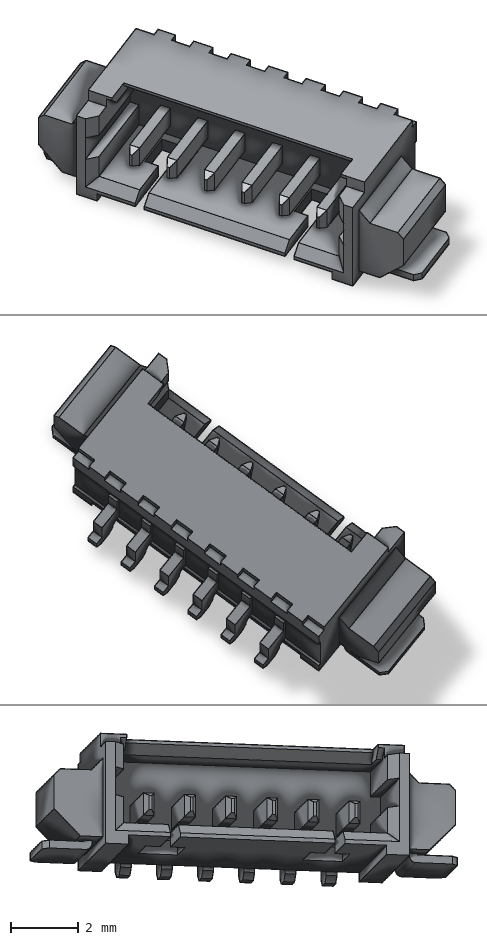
import cadquery as cq

body_width = 9.25
body_depth = 4.2
body_height = 3.5
wall = 0.3
roof_thickness = 0.4
front_step_depth = 0.78
ceiling_z = body_height - roof_thickness

floor_bottom_z = 0.28
floor_z = 0.71
lead_in = 0.3
cavity_depth = 2.93
mouth_half_width = body_width / 2 - wall
cavity_half_width = mouth_half_width - lead_in
groove_bottom_z = 1.49
groove_top_z = 2.34

roof_window_width = 7.65
roof_window_depth = 1.55
foot_width = 0.7
slot_width = 0.3
latch_opening_width = 1.2
latch_opening_front_y = 1.53
latch_opening_back_y = 2.66
notch_depth = 0.27
notch_width = 0.61
rear_recess_depth = 0.09
rear_recess_bottom_z = 0.49
rear_recess_top_z = 2.48

pin_count = 6
pitch = 1.25
pin_width = 0.33
pin_bottom_z = 1.09
pin_top_z = 1.77
pin_tip_y = 0.65
pin_taper_length = 0.27
pin_tip_width = 0.09
pin_tip_inset_z = 0.13
tail_root_top_z = 2.07
tail_top_z = 1.38
tail_back_y = 4.93
tail_end_y = 5.2
tail_toe_y = 4.4
tail_foot_height = 0.49
tail_chamfer = 0.2
tail_bend_radius = tail_toe_y - body_depth

total_width = 12.65
ear_front_y = 0.42
ear_back_y = 3.2
ear_outer_x = 6.11
ear_gusset = 0.37
ear_top_z = 2.3
ear_top_chamfer = 0.19
ear_lower_z = 1.08
ear_bottom_x = 5.31
tab_front_y = 1.04
tab_thickness = 0.24
tab_inner_x = 4.83
tab_corner = 0.19
tab_bend_radius = 0.19

pin_xs = [(i - (pin_count - 1) / 2) * pitch for i in range(pin_count)]
slot_xs = [-2 * pitch, 2 * pitch]


def box(x0, x1, y0, y1, z0, z1):
    """Block between two opposite corners."""
    return cq.Workplane("XY").box(x1 - x0, y1 - y0, z1 - z0, centered=False).translate((x0, y0, z0))


def centred_box(x, width, y0, y1, z0, z1):
    """Block centred on x."""
    return box(x - width / 2, x + width / 2, y0, y1, z0, z1)


def tapered_block(y0, half_width0, z0_low, z0_high, y1, half_width1, z1_low, z1_high):
    """Block along Y whose rectangular section changes from the y0 end to the y1 end."""
    return (
        cq.Workplane("XZ", origin=(0, y0, 0))
        .center(0, (z0_low + z0_high) / 2)
        .rect(2 * half_width0, z0_high - z0_low)
        .workplane(offset=y0 - y1)
        .center(0, (z1_low + z1_high - z0_low - z0_high) / 2)
        .rect(2 * half_width1, z1_high - z1_low)
        .loft(combine=True)
    )


def make_cavity():
    """Mating cavity with a flared mouth and a guide groove along each side wall."""
    cavity = centred_box(0, 2 * cavity_half_width, 0, cavity_depth, floor_z, ceiling_z)
    mouth = tapered_block(
        0, mouth_half_width, floor_z - lead_in, ceiling_z,
        lead_in, cavity_half_width, floor_z, ceiling_z,
    )
    grooves = centred_box(0, 2 * mouth_half_width, 0, cavity_depth, groove_bottom_z, groove_top_z)
    return cavity.union(mouth).union(grooves)


def roof_edge_chamfer(width, edge_y):
    """Prism that bevels the underside of the roof behind a front edge."""
    return (
        cq.Workplane("YZ", origin=(-width / 2, 0, 0))
        .polyline([
            (edge_y, ceiling_z),
            (edge_y + lead_in, ceiling_z),
            (edge_y, ceiling_z + lead_in),
        ])
        .close()
        .extrude(width)
    )


def make_housing():
    housing = centred_box(0, body_width, 0, body_depth, 0, body_height)
    housing = housing.cut(make_cavity())

    housing = housing.cut(centred_box(0, body_width, 0, front_step_depth, ceiling_z, body_height))
    housing = housing.cut(centred_box(0, roof_window_width, 0, roof_window_depth, ceiling_z, body_height))
    housing = housing.cut(roof_edge_chamfer(2 * cavity_half_width, front_step_depth))
    housing = housing.cut(roof_edge_chamfer(roof_window_width, roof_window_depth))

    housing = housing.cut(centred_box(0, body_width - 2 * foot_width, 0, body_depth, 0, floor_bottom_z))

    for x in slot_xs:
        housing = housing.cut(centred_box(x, slot_width, 0, latch_opening_front_y, 0, floor_z))
        housing = housing.cut(
            centred_box(x, latch_opening_width, latch_opening_front_y, latch_opening_back_y, 0, floor_z)
        )

    notch_y = body_depth - notch_depth
    notch_z = body_height - notch_depth
    corner_x = (body_width - notch_width) / 2
    for x in [-corner_x, *pin_xs, corner_x]:
        housing = housing.cut(centred_box(x, notch_width, notch_y, body_depth, notch_z, body_height))

    rear_recess = centred_box(
        0, body_width, body_depth - rear_recess_depth, body_depth, rear_recess_bottom_z, rear_recess_top_z
    )
    return housing.cut(rear_recess)


def make_pin():
    """Contact on X = 0: tapered blade, root in the rear wall and soldering tail."""
    blade_start_y = pin_tip_y + pin_taper_length
    blade = centred_box(0, pin_width, blade_start_y, body_depth, pin_bottom_z, pin_top_z)
    tip = tapered_block(
        pin_tip_y, pin_tip_width / 2, pin_bottom_z + pin_tip_inset_z, pin_top_z - pin_tip_inset_z,
        blade_start_y, pin_width / 2, pin_bottom_z, pin_top_z,
    )
    root = centred_box(
        0, pin_width, body_depth - rear_recess_depth, body_depth, tail_foot_height, tail_root_top_z
    )
    tail = (
        cq.Workplane("YZ", origin=(-pin_width / 2, 0, 0))
        .moveTo(body_depth, tail_top_z)
        .lineTo(tail_back_y, tail_top_z)
        .lineTo(tail_back_y, tail_foot_height)
        .lineTo(tail_end_y, tail_foot_height)
        .lineTo(tail_end_y, tail_chamfer)
        .lineTo(tail_end_y - tail_chamfer, 0)
        .lineTo(tail_toe_y + tail_chamfer, 0)
        .lineTo(tail_toe_y, tail_chamfer)
        .lineTo(tail_toe_y, tail_foot_height - tail_bend_radius)
        .radiusArc((body_depth, tail_foot_height), -tail_bend_radius)
        .close()
        .extrude(pin_width)
    )
    return blade.union(tip).union(root).union(tail)


def make_ear():
    """Ear and solder tab on the +X side; the tab bends up into the ear."""
    wall_x = body_width / 2
    ear = (
        cq.Workplane("XZ", origin=(0, ear_back_y, 0))
        .polyline([
            (wall_x, floor_bottom_z),
            (ear_bottom_x, floor_bottom_z),
            (ear_outer_x, ear_lower_z),
            (ear_outer_x, ear_top_z - ear_top_chamfer),
            (ear_outer_x - ear_top_chamfer, ear_top_z),
            (wall_x + ear_gusset, ear_top_z),
            (wall_x, ear_top_z + ear_gusset),
        ])
        .close()
        .extrude(ear_back_y - ear_front_y)
    )
    tab = box(tab_inner_x, total_width / 2, tab_front_y, ear_back_y, 0, tab_thickness)
    tab = tab.edges("|Z and >X").chamfer(tab_corner)
    leg = box(
        tab_inner_x, tab_inner_x + tab_thickness, tab_front_y, ear_back_y, 0, floor_bottom_z + tab_thickness
    )
    tab = tab.union(leg)
    tab = tab.edges("|Y and <X and <Z").fillet(tab_bend_radius)
    return ear.union(tab)


result = make_housing()
for pin_x in pin_xs:
    result = result.union(make_pin().translate((pin_x, 0, 0)))
right_ear = make_ear()
result = result.union(right_ear).union(right_ear.mirror("YZ"))